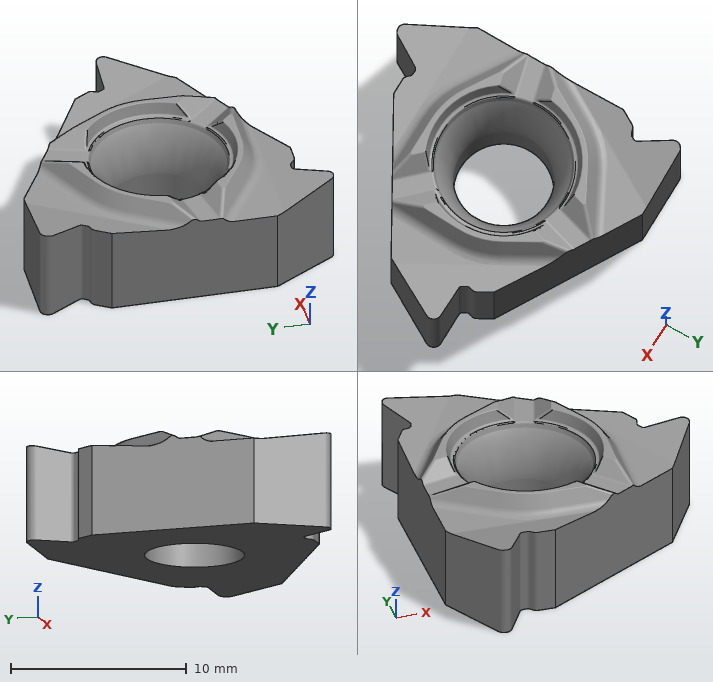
import cadquery as cq
import math

LENGTH = 17.56
HEIGHT = 6.05
SIDE_DISTANCE = 6.34
TURN = 120
CORNERS = (0, TURN, 2 * TURN)

TIP_RADIUS = 0.47
FLANK_START_Y = -5.51
LEFT_FLANK_ANGLE = 59.8
RIGHT_FLANK_ANGLE = 60.0
ROOT_Y = -7.23
ROOT_END_X = -1.91
SHOULDER_Y = -7.57
SHOULDER_START_X = -1.58
ROOT_ROUND = 0.23
SHOULDER_ROUND = 0.35

FLOOR_Z = 4.99
VALLEY_Y = -5.92
RAKE_ANGLE = 9.5
VALLEY_HALF_WIDTH = 0.05

BOSS_TOP_RADIUS = 4.81
BOSS_WALL_TAPER = 35.0
BOSS_ARC_START = 238.0
BOSS_ARC_END = 270.0
BOSS_ROOT_FILLET = 0.7
TOP_RIM_FILLET = 0.07

SLOT_DIRECTION = (BOSS_ARC_END + BOSS_ARC_START + TURN) / 2
SLOT_SECTOR = 40.0
SLOT_FLOOR_Z = 5.3
SLOT_FLOOR_WIDTH = 1.09
SLOT_TOP_WIDTH = 3.05
SLOT_ROUND = 0.26
RIDGE_FILLET = 0.21

HOLE_DIAMETER = 5.7
SEAT_RADIUS = 4.25
SEAT_ANGLE = 41.0
SEAT_TOP_Z = 5.0
THROAT_TOP_RADIUS = 4.04
THROAT_ROUND = 0.09
RECESS_FLOOR_Z = 5.34
RECESS_FLOOR_RADIUS = 4.23
RECESS_TOP_RADIUS = 4.5
RECESS_ROUND = 0.15
RECESS_EDGE_FILLET = 0.14

FAR = 12.3
GAP = 0.02


def polar(radius, angle):
    a = math.radians(angle)
    return radius * math.cos(a), radius * math.sin(a)


def turned(point, angle):
    x, y = point
    a = math.radians(angle)
    return x * math.cos(a) - y * math.sin(a), x * math.sin(a) + y * math.cos(a)


def three_fold(solid):
    """Union of the solid and its two copies turned about the axis."""
    copies = [solid.rotate((0, 0, 0), (0, 0, 1), angle) for angle in CORNERS]
    return copies[0].union(copies[1]).union(copies[2])


def make_blank():
    flank_start = (-SIDE_DISTANCE, FLANK_START_Y)
    top_y = turned(flank_start, 2 * TURN)[1]
    tip_centre_y = top_y - LENGTH + TIP_RADIUS
    left_slope = math.tan(math.radians(LEFT_FLANK_ANGLE))
    flank_x = -SIDE_DISTANCE + (FLANK_START_Y - tip_centre_y) / left_slope
    tip_centre_x = flank_x + TIP_RADIUS / math.sin(math.radians(LEFT_FLANK_ANGLE))

    def tip_point(angle):
        dx, dy = polar(TIP_RADIUS, angle)
        return tip_centre_x + dx, tip_centre_y + dy

    left_tangent = tip_point(270 - LEFT_FLANK_ANGLE)
    right_tangent = tip_point(270 + RIGHT_FLANK_ANGLE)
    right_slope = math.tan(math.radians(RIGHT_FLANK_ANGLE))
    root_start = (right_tangent[0] + (ROOT_Y - right_tangent[1]) / right_slope, ROOT_Y)
    root_end = (ROOT_END_X, ROOT_Y)
    shoulder_start = (SHOULDER_START_X, SHOULDER_Y)
    shoulder_end = (2 * SIDE_DISTANCE + 2 * SHOULDER_Y * math.cos(math.radians(30)), SHOULDER_Y)

    outline = cq.Workplane("XY").moveTo(*flank_start)
    for angle in CORNERS:
        if angle:
            outline = outline.lineTo(*turned(flank_start, angle))
        outline = outline.lineTo(*turned(left_tangent, angle))
        outline = outline.threePointArc(turned(tip_point(270), angle), turned(right_tangent, angle))
        for point in (root_start, root_end, shoulder_start, shoulder_end):
            outline = outline.lineTo(*turned(point, angle))
    blank = outline.close().extrude(HEIGHT)

    for point, radius in ((root_start, ROOT_ROUND), (root_end, ROOT_ROUND), (shoulder_start, SHOULDER_ROUND)):
        for angle in CORNERS:
            x, y = turned(point, angle)
            blank = blank.edges(cq.NearestToPointSelector((x, y, HEIGHT / 2))).fillet(radius)
    return blank


def boss_base_radius():
    return BOSS_TOP_RADIUS + (HEIGHT - FLOOR_Z) * math.tan(math.radians(BOSS_WALL_TAPER))


def boss_corner_radius():
    """Distance from the axis to the corners where the straight sides of the boss meet at its base."""
    return boss_base_radius() / math.cos(math.radians(SLOT_DIRECTION - BOSS_ARC_END))


def make_boss():
    """Three arcs about the axis, each joined to the next by tangent lines that meet at a corner."""
    radius = boss_base_radius()
    profile = cq.Workplane("XY").workplane(offset=FLOOR_Z).moveTo(*polar(radius, BOSS_ARC_START))
    for angle in CORNERS:
        profile = (
            profile.threePointArc(
                polar(radius, (BOSS_ARC_START + BOSS_ARC_END) / 2 + angle),
                polar(radius, BOSS_ARC_END + angle),
            )
            .lineTo(*polar(boss_corner_radius(), SLOT_DIRECTION + angle))
        )
        if angle != CORNERS[-1]:
            profile = profile.lineTo(*polar(radius, BOSS_ARC_START + TURN + angle))
    return profile.close().extrude(HEIGHT - FLOOR_Z, taper=BOSS_WALL_TAPER)


def make_slots():
    slot = (
        cq.Workplane("YZ")
        .polyline([
            (-SLOT_FLOOR_WIDTH / 2, SLOT_FLOOR_Z),
            (SLOT_FLOOR_WIDTH / 2, SLOT_FLOOR_Z),
            (SLOT_TOP_WIDTH / 2, HEIGHT),
            (-SLOT_TOP_WIDTH / 2, HEIGHT),
        ])
        .close()
        .extrude(FAR)
        .edges("|X and <Z").fillet(SLOT_ROUND)
        .rotate((0, 0, 0), (0, 0, 1), SLOT_DIRECTION)
    )
    return three_fold(slot)


def make_rakes():
    """Sloped faces that rise from each valley line toward the tooth tips."""
    rake = math.radians(RAKE_ANGLE)
    blend_radius = VALLEY_HALF_WIDTH / math.tan(rake / 2)
    blend_start_y = VALLEY_Y + VALLEY_HALF_WIDTH

    def blend_point(angle):
        return blend_start_y - blend_radius * math.sin(angle), FLOOR_Z + blend_radius * (1 - math.cos(angle))

    corner = (
        cq.Workplane("YZ")
        .moveTo(blend_start_y, 0)
        .lineTo(blend_start_y, FLOOR_Z)
        .threePointArc(blend_point(rake / 2), blend_point(rake))
        .lineTo(-FAR, FLOOR_Z + (FAR + VALLEY_Y) * math.tan(rake))
        .lineTo(-FAR, 0)
        .close()
        .extrude(FAR, both=True)
    )
    return three_fold(corner)


def edges_within(radius, z):
    """Selector for the level edges at height z that lie no farther than this from the axis."""
    reach = radius + GAP
    return cq.selectors.BoxSelector((-reach, -reach, z - GAP), (reach, reach, z + GAP), boundingbox=True)


def make_bore():
    hole_radius = HOLE_DIAMETER / 2
    seat_bottom_z = SEAT_TOP_Z - SEAT_RADIUS * math.sin(math.radians(SEAT_ANGLE))

    def seat_point(angle):
        dx, dz = polar(SEAT_RADIUS, angle)
        return hole_radius + SEAT_RADIUS - dx, seat_bottom_z + dz

    bore = (
        cq.Workplane("XZ")
        .lineTo(hole_radius, 0)
        .lineTo(hole_radius, seat_bottom_z)
        .threePointArc(seat_point(SEAT_ANGLE / 2), seat_point(SEAT_ANGLE))
        .lineTo(THROAT_TOP_RADIUS, RECESS_FLOOR_Z)
        .lineTo(RECESS_FLOOR_RADIUS, RECESS_FLOOR_Z)
        .lineTo(RECESS_TOP_RADIUS, HEIGHT)
        .lineTo(0, HEIGHT)
        .close()
        .revolve(360, (0, 0, 0), (0, 1, 0))
    )
    bore = bore.edges(edges_within(THROAT_TOP_RADIUS, RECESS_FLOOR_Z)).fillet(THROAT_ROUND)
    return bore.edges(edges_within(RECESS_FLOOR_RADIUS, RECESS_FLOOR_Z)).fillet(RECESS_ROUND)


def is_slot_edge(edge):
    """True for the slanted edges where a slot wall meets another wall that reaches the top."""
    box = edge.BoundingBox()
    slanted = box.zmax > HEIGHT - GAP and box.zmax - box.zmin > (HEIGHT - SLOT_FLOOR_Z) / 2
    centre = edge.Center()
    angle = math.degrees(math.atan2(centre.y, centre.x)) - SLOT_DIRECTION
    return slanted and abs((angle + TURN / 2) % TURN - TURN / 2) < SLOT_SECTOR


def is_recess_edge(edge):
    """True for the slot edges on the recess wall."""
    centre = edge.Center()
    return is_slot_edge(edge) and math.hypot(centre.x, centre.y) < RECESS_TOP_RADIUS


def make_floor_with_boss():
    plate = cq.Workplane("XY").circle(FAR).extrude(FLOOR_Z)
    body = plate.union(make_boss())
    root = edges_within(boss_corner_radius(), FLOOR_Z)
    body = body.edges(root).fillet(BOSS_ROOT_FILLET)
    body = body.cut(make_slots())
    return body.edges().filter(is_slot_edge).fillet(RIDGE_FILLET)


result = make_floor_with_boss().union(make_rakes()).intersect(make_blank()).cut(make_bore())
result = result.edges().filter(is_recess_edge).fillet(RECESS_EDGE_FILLET)
result = result.faces(">Z").edges().fillet(TOP_RIM_FILLET)